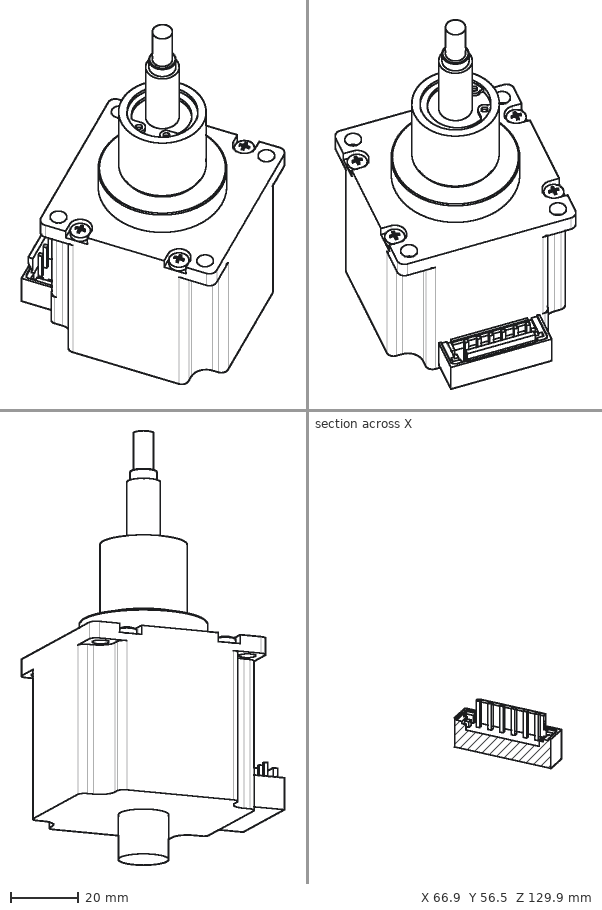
import cadquery as cq
import math

BODY_BASE = 13.6
LID_TOP = 25.0
FLANGE_BASE = 59.1
FLANGE_TOP = 64.2
BOSS_TOP = 72.0
NECK_TOP = 73.5
DRUM_TOP = 95.9
SPINDLE_TOP = 115.0
COLLAR_TOP = 118.2
SHAFT_TOP = 129.9

REAR_SHAFT_DIA = 15.0
BOSS_DIA = 38.2
NECK_DIA = 24.0
DRUM_DIA = 26.0
DRUM_BORE_DIA = 21.0
SPINDLE_DIA = 10.0
COLLAR_DIA = 8.0
SHAFT_DIA = 6.0
BOSS_CHAMFER = 0.4
COLLAR_CHAMFER = 0.3

BODY_WIDTH = 56.5
HALF_WIDTH = BODY_WIDTH / 2
FLANGE_CORNER_RADIUS = 2.3
MOUNT_SPACING = 47.2
MOUNT_HOLE_DIA = 5.0
NOTCH_SIZE = 9.0
NOTCH_INNER_RADIUS = 4.8
NOTCH_OUTER_RADIUS = 2.2
LID_LIP_RADIUS = 1.5

SCREW_X = 15.8
SCREW_Y = 25.2
SCREW_POCKET_DIA = 7.0
SCREW_POCKET_DEPTH = 2.7
SCREW_HEAD_DIA = 6.0
SCREW_RIM_HEIGHT = 1.5
SCREW_HEAD_HEIGHT = 2.5
CROSS_LENGTH = 3.0
CROSS_WIDTH = 0.6
CROSS_DEPTH = 1.0

RING_RECESS = 1.0
RING_THICKNESS = 1.0
RING_TOP = DRUM_TOP - RING_RECESS
RING_BASE = RING_TOP - RING_THICKNESS
RING_INNER_DIA = 17.9
RING_OFFSET = 0.6
LUG_X = 4.4
LUG_Y = -7.5
LUG_DIA = 3.9
LUG_HOLE_DIA = 2.0
LUG_ROOT_RADIUS = 1.3
RING_GAP = 6.2

CONN_DEPTH = 10.4
CONN_LEFT = -HALF_WIDTH - CONN_DEPTH
CONN_HALF_WIDTH = 16.0
CONN_BASE = 15.2
CONN_FLOOR = 21.8
CONN_RIM = 0.8
CONN_STEP_DEPTH = 0.5
CONN_CORNER_RADIUS = 1.3
CAVITY_LEFT = -37.2
CAVITY_RIGHT = -30.1
CAVITY_HALF_WIDTH = 12.1
BACK_WALL = -29.1
LEDGE_WIDTH = 1.3
LEDGE_DEPTH = 1.3
CORNER_POCKET_LEFT = -36.2
CORNER_POCKET_RIGHT = -34.7
CORNER_POCKET_WIDTH = 2.3
SIDE_SLOT_LEFT = -33.3
SIDE_SLOT_RIGHT = -31.6
TAB_HALF_WIDTH = 10.8
TAB_HOOK_HEIGHT = 26.5
TAB_TOP = 29.0
PIN_COUNT = 6
PIN_PITCH = 3.9
PIN_X = -35.1
PIN_WIDTH = 1.2
PIN_TOP = 30.5


def cylinder(diameter, bottom, top, x=0.0, y=0.0):
    return cq.Workplane("XY", origin=(x, y, bottom)).circle(diameter / 2).extrude(top - bottom)


def block(x0, x1, y0, y1, z0, z1):
    return cq.Workplane("XY").box(x1 - x0, y1 - y0, z1 - z0, centered=False).translate((x0, y0, z0))


def square_prism(bottom, top):
    height = top - bottom
    return cq.Workplane("XY", origin=(0, 0, bottom)).rect(BODY_WIDTH, BODY_WIDTH).extrude(height)


def notched_prism(bottom, top, connector_lip_radius):
    """Square column with a rounded notch in each corner, clearing the mounting screws.

    The lip on the -X face nearest -Y has its own radius.
    """
    prism = square_prism(bottom, top)
    notch_center = HALF_WIDTH - NOTCH_SIZE / 2
    for sx in (-1, 1):
        for sy in (-1, 1):
            notch = block(-NOTCH_SIZE / 2, NOTCH_SIZE / 2, -NOTCH_SIZE / 2, NOTCH_SIZE / 2, bottom, top)
            prism = prism.cut(notch.translate((sx * notch_center, sy * notch_center, 0)))
    inner_box = cq.selectors.BoxSelector(
        (-notch_center, -notch_center, bottom), (notch_center, notch_center, top)
    )
    prism = prism.edges("|Z").edges(inner_box).fillet(NOTCH_INNER_RADIUS)
    prism = prism.faces("<X").edges("|Z").edges("<Y").fillet(connector_lip_radius)
    prism = prism.faces("<X").edges("|Z").edges(">Y").fillet(NOTCH_OUTER_RADIUS)
    for face in (">X", "<Y", ">Y"):
        prism = prism.faces(face).edges("|Z").fillet(NOTCH_OUTER_RADIUS)
    return prism


def make_flange():
    flange = square_prism(FLANGE_BASE, FLANGE_TOP).edges("|Z").fillet(FLANGE_CORNER_RADIUS)
    holes = (
        cq.Workplane("XY", origin=(0, 0, FLANGE_BASE))
        .rect(MOUNT_SPACING, MOUNT_SPACING, forConstruction=True)
        .vertices()
        .circle(MOUNT_HOLE_DIA / 2)
        .extrude(FLANGE_TOP - FLANGE_BASE)
    )
    return flange.cut(holes)


def screw_pocket(x, side):
    """Round-ended pocket, open at the flange edge on the given side."""
    floor = FLANGE_TOP - SCREW_POCKET_DEPTH
    radius = SCREW_POCKET_DIA / 2
    y_ends = sorted((side * SCREW_Y, side * HALF_WIDTH))
    mouth = block(x - radius, x + radius, *y_ends, floor, FLANGE_TOP)
    return mouth.union(cylinder(SCREW_POCKET_DIA, floor, FLANGE_TOP, x, side * SCREW_Y))


def screw_head(x, y):
    """Domed head with a cross recess."""
    floor = FLANGE_TOP - SCREW_POCKET_DEPTH
    radius = SCREW_HEAD_DIA / 2
    dome_height = SCREW_HEAD_HEIGHT - SCREW_RIM_HEIGHT
    dome_radius = (radius**2 + dome_height**2) / (2 * dome_height)
    half_angle = math.asin(radius / dome_radius) / 2
    mid_x = dome_radius * math.sin(half_angle)
    mid_z = SCREW_HEAD_HEIGHT - dome_radius * (1 - math.cos(half_angle))
    head = (
        cq.Workplane("XZ")
        .lineTo(radius, 0)
        .lineTo(radius, SCREW_RIM_HEIGHT)
        .threePointArc((mid_x, mid_z), (0, SCREW_HEAD_HEIGHT))
        .close()
        .revolve(360, (0, 0), (0, 1))
    )
    recess = cq.Workplane("XY", origin=(0, 0, SCREW_HEAD_HEIGHT - CROSS_DEPTH))
    for length, width in ((CROSS_LENGTH, CROSS_WIDTH), (CROSS_WIDTH, CROSS_LENGTH)):
        head = head.cut(recess.rect(length, width).extrude(CROSS_DEPTH))
    return head.translate((x, y, floor))


def make_retaining_ring():
    """Eccentric ring with a gap at -Y and a holed lug on each side of the gap."""
    radius = DRUM_BORE_DIA / 2
    bore = cylinder(DRUM_BORE_DIA, RING_BASE, RING_TOP)
    ring = bore.cut(cylinder(RING_INNER_DIA, RING_BASE, RING_TOP, y=-RING_OFFSET))
    ring = ring.cut(block(-RING_GAP / 2, RING_GAP / 2, -radius, 0, RING_BASE, RING_TOP))
    root_y = LUG_Y + LUG_DIA / 2
    root_x = math.sqrt((RING_INNER_DIA / 2) ** 2 - (root_y + RING_OFFSET) ** 2)
    for side in (-1, 1):
        x_ends = sorted((side * LUG_X, side * radius))
        arm = block(*x_ends, LUG_Y - LUG_DIA / 2, root_y, RING_BASE, RING_TOP)
        lug = arm.union(cylinder(LUG_DIA, RING_BASE, RING_TOP, side * LUG_X, LUG_Y))
        ring = ring.union(lug.intersect(bore))
    for side in (-1, 1):
        root = cq.selectors.NearestToPointSelector((side * root_x, root_y, RING_TOP - RING_THICKNESS / 2))
        ring = ring.edges("|Z").edges(root).fillet(LUG_ROOT_RADIUS)
        ring = ring.cut(cylinder(LUG_HOLE_DIA, RING_BASE, RING_TOP, side * LUG_X, LUG_Y))
    return ring


def make_front_parts():
    """Boss, hollow drum with its retaining ring, and stepped output shaft."""
    boss = cylinder(BOSS_DIA, FLANGE_TOP, BOSS_TOP).faces(">Z").chamfer(BOSS_CHAMFER)
    neck = cylinder(NECK_DIA, BOSS_TOP, NECK_TOP)
    drum = cylinder(DRUM_DIA, NECK_TOP, DRUM_TOP)
    drum = drum.cut(cylinder(DRUM_BORE_DIA, RING_BASE, DRUM_TOP))
    spindle = cylinder(SPINDLE_DIA, RING_BASE, SPINDLE_TOP)
    collar = cylinder(COLLAR_DIA, SPINDLE_TOP, COLLAR_TOP).faces(">Z").chamfer(COLLAR_CHAMFER)
    shaft = cylinder(SHAFT_DIA, COLLAR_TOP, SHAFT_TOP)
    turned = boss.union(neck).union(drum).union(make_retaining_ring())
    return turned.union(spindle).union(collar).union(shaft)


def make_connector():
    right = -HALF_WIDTH
    rim_left = CONN_LEFT + CONN_RIM
    rim_half = CONN_HALF_WIDTH - CONN_RIM
    step_floor = LID_TOP - CONN_STEP_DEPTH
    ledge_floor = LID_TOP - LEDGE_DEPTH
    ledge_half = CAVITY_HALF_WIDTH + LEDGE_WIDTH

    shell = block(CONN_LEFT, right, -CONN_HALF_WIDTH, CONN_HALF_WIDTH, CONN_BASE, LID_TOP)
    step = block(rim_left, right, -rim_half, rim_half, step_floor, LID_TOP)
    step = step.edges("|Z and <X").fillet(CONN_CORNER_RADIUS)
    back_wall = block(BACK_WALL, right, -CAVITY_HALF_WIDTH, CAVITY_HALF_WIDTH, step_floor, LID_TOP)
    shell = shell.cut(step.cut(back_wall))
    shell = shell.cut(
        block(CAVITY_LEFT, CAVITY_RIGHT, -CAVITY_HALF_WIDTH, CAVITY_HALF_WIDTH, CONN_FLOOR, LID_TOP)
    )

    for side in (-1, 1):
        inner = side * CAVITY_HALF_WIDTH
        ledge_ends = sorted((inner, side * ledge_half))
        pocket_ends = sorted((inner, side * (CAVITY_HALF_WIDTH + CORNER_POCKET_WIDTH)))
        shell = shell.cut(block(CORNER_POCKET_RIGHT, right, *ledge_ends, ledge_floor, LID_TOP))
        shell = shell.cut(block(SIDE_SLOT_LEFT, SIDE_SLOT_RIGHT, *ledge_ends, CONN_FLOOR, LID_TOP))
        shell = shell.cut(
            block(CORNER_POCKET_LEFT, CORNER_POCKET_RIGHT, *pocket_ends, CONN_FLOOR, LID_TOP)
        )

    tab = (
        cq.Workplane("XZ")
        .moveTo(CAVITY_LEFT, step_floor)
        .lineTo(CAVITY_LEFT, TAB_TOP)
        .lineTo(CONN_LEFT, TAB_TOP)
        .lineTo(CONN_LEFT, TAB_HOOK_HEIGHT)
        .lineTo(rim_left, step_floor)
        .close()
        .extrude(TAB_HALF_WIDTH, both=True)
    )
    connector = shell.union(tab)

    half = PIN_WIDTH / 2
    for i in range(PIN_COUNT):
        y = (i - (PIN_COUNT - 1) / 2) * PIN_PITCH
        pin = block(PIN_X - half, PIN_X + half, y - half, y + half, CONN_FLOOR, PIN_TOP)
        connector = connector.union(pin)
    return connector


def make_body():
    stator = notched_prism(LID_TOP, FLANGE_BASE, NOTCH_OUTER_RADIUS)
    lid = notched_prism(BODY_BASE, LID_TOP, LID_LIP_RADIUS)
    body = lid.union(stator).union(make_flange())
    for x in (-SCREW_X, SCREW_X):
        for side in (-1, 1):
            body = body.cut(screw_pocket(x, side)).union(screw_head(x, side * SCREW_Y))
    return body


rear_shaft = cylinder(REAR_SHAFT_DIA, 0, BODY_BASE)
result = make_body().union(make_front_parts()).union(rear_shaft).union(make_connector())